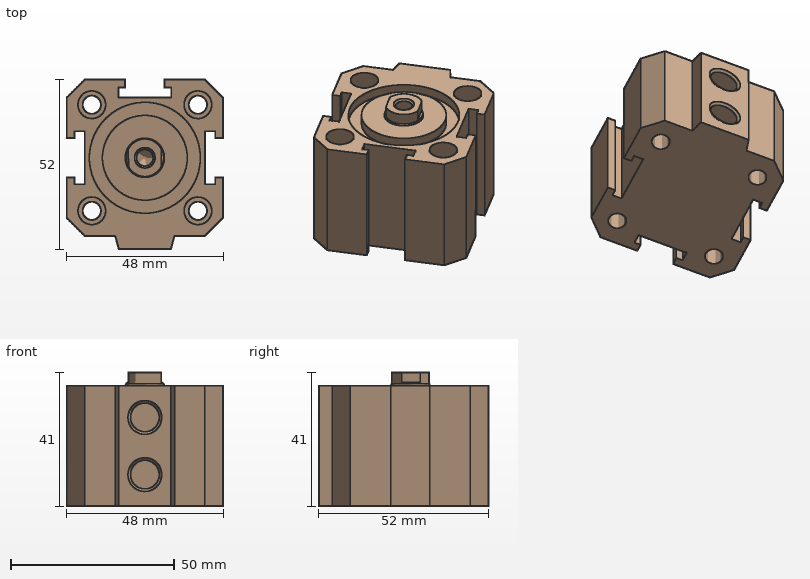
import cadquery as cq
import math

BLOCK_WIDTH = 48.0
BLOCK_HEIGHT = 36.95
CORNER_CHAMFER = 5.6

OVERALL_DEPTH = 52.0
BOSS_HEIGHT = OVERALL_DEPTH - BLOCK_WIDTH
BOSS_BASE_WIDTH = 18.2
BOSS_FACE_WIDTH = 16.0

SLOT_OPENING = 12.0
SLOT_INNER_WIDTH = 16.1
SLOT_DEPTH = 5.5
SLOT_LIP = 2.5

PORT_DIAMETER = 8.8
PORT_CHAMFER = 0.8
PORT_DEPTH = 8.0
PORT_HEIGHTS = (9.65, 27.2)

MOUNT_SPACING = 32.5
MOUNT_HOLE_DIAMETER = 5.5
COUNTERBORE_DIAMETER = 8.5
COUNTERBORE_DEPTH = 5.6

RECESS_DIAMETER = 34.0
COLLAR_DIAMETER = 26.0
RECESS_DEPTH = 3.0

ROD_DIAMETER = 12.0
ROD_TIP_DIAMETER = 11.55
ROD_PROJECTION = 4.0
ROD_SEAT_DEPTH = 20.0
SHOULDER_HEIGHT = 0.5
FLAT_START = 1.0
ACROSS_FLATS = 10.05
LEDGE_ANGLE = 30.0
FLAT_ROTATION = 1.5

SOCKET_DIAMETER = 5.1
SOCKET_MOUTH_DIAMETER = 6.3
SOCKET_DEPTH = 12.0
DRILL_POINT_ANGLE = 118.0


def make_t_slot(angle):
    """T-slot cutter for the +Y side, turned about the Z axis by the angle in degrees."""
    outer_y = BLOCK_WIDTH / 2
    opening = cq.Workplane("XY").rect(SLOT_OPENING, 2 * SLOT_DEPTH).extrude(BLOCK_HEIGHT)
    inner_depth = SLOT_DEPTH - SLOT_LIP
    inner = (
        cq.Workplane("XY")
        .center(0, -SLOT_LIP - inner_depth / 2)
        .rect(SLOT_INNER_WIDTH, inner_depth)
        .extrude(BLOCK_HEIGHT)
    )
    return opening.union(inner).translate((0, outer_y, 0)).rotate((0, 0, 0), (0, 0, 1), angle)


def make_port(height):
    """Flat-bottomed port cutter with a chamfered mouth, running inwards from the boss face."""
    radius = PORT_DIAMETER / 2
    mouth_radius = radius + PORT_CHAMFER
    face_y = -BLOCK_WIDTH / 2 - BOSS_HEIGHT
    return (
        cq.Workplane("XY")
        .moveTo(0, face_y)
        .lineTo(mouth_radius, face_y)
        .lineTo(radius, face_y + PORT_CHAMFER)
        .lineTo(radius, face_y + PORT_DEPTH)
        .lineTo(0, face_y + PORT_DEPTH)
        .close()
        .revolve(360, (0, 0, 0), (0, 1, 0))
        .translate((0, 0, height))
    )


def make_boss():
    """Tapered boss on the -Y side, full height of the block."""
    base_y = -BLOCK_WIDTH / 2
    face_y = base_y - BOSS_HEIGHT
    return (
        cq.Workplane("XY")
        .polyline([
            (-BOSS_BASE_WIDTH / 2, base_y),
            (-BOSS_FACE_WIDTH / 2, face_y),
            (BOSS_FACE_WIDTH / 2, face_y),
            (BOSS_BASE_WIDTH / 2, base_y),
        ])
        .close()
        .extrude(BLOCK_HEIGHT)
    )


def make_housing():
    block = (
        cq.Workplane("XY")
        .rect(BLOCK_WIDTH, BLOCK_WIDTH)
        .extrude(BLOCK_HEIGHT)
        .edges("|Z")
        .chamfer(CORNER_CHAMFER)
        .union(make_boss())
    )
    for angle in (0, 90, -90):
        block = block.cut(make_t_slot(angle))
    for height in PORT_HEIGHTS:
        block = block.cut(make_port(height))

    top = cq.Workplane("XY", origin=(0, 0, BLOCK_HEIGHT))
    recess = top.circle(RECESS_DIAMETER / 2).circle(COLLAR_DIAMETER / 2).extrude(-RECESS_DEPTH)
    rod_bore = top.circle(ROD_DIAMETER / 2).extrude(-ROD_SEAT_DEPTH)
    mount_holes = (
        top.rect(MOUNT_SPACING, MOUNT_SPACING, forConstruction=True)
        .vertices()
        .circle(MOUNT_HOLE_DIAMETER / 2)
        .extrude(-BLOCK_HEIGHT)
    )
    counterbores = (
        top.rect(MOUNT_SPACING, MOUNT_SPACING, forConstruction=True)
        .vertices()
        .circle(COUNTERBORE_DIAMETER / 2)
        .extrude(-COUNTERBORE_DEPTH)
    )
    return block.cut(recess).cut(rod_bore).cut(mount_holes).cut(counterbores)


def make_rod_socket(tip_z):
    """Cutter for the socket in the rod tip, with a 45 degree countersink and a drill point."""
    radius = SOCKET_DIAMETER / 2
    mouth_radius = SOCKET_MOUTH_DIAMETER / 2
    floor_z = tip_z - SOCKET_DEPTH
    point_length = radius / math.tan(math.radians(DRILL_POINT_ANGLE / 2))
    return (
        cq.Workplane("XZ")
        .moveTo(0, tip_z)
        .lineTo(mouth_radius, tip_z)
        .lineTo(radius, tip_z - (mouth_radius - radius))
        .lineTo(radius, floor_z)
        .lineTo(0, floor_z - point_length)
        .close()
        .revolve(360, (0, 0, 0), (0, 1, 0))
    )


def make_flat(side):
    """Cutter for the wrench flat on the -X (side -1) or +X (side 1) flank, with its sloping ledge.

    The flats are turned slightly about the rod axis.
    """
    flat_x = side * ACROSS_FLATS / 2
    outer_x = side * ROD_DIAMETER
    flat_z = BLOCK_HEIGHT + FLAT_START
    tip_z = BLOCK_HEIGHT + ROD_PROJECTION
    ledge_drop = abs(outer_x - flat_x) * math.tan(math.radians(LEDGE_ANGLE))
    return (
        cq.Workplane("XZ")
        .polyline([
            (flat_x, tip_z),
            (flat_x, flat_z),
            (outer_x, flat_z - ledge_drop),
            (outer_x, tip_z),
        ])
        .close()
        .extrude(ROD_DIAMETER / 2, both=True)
        .rotate((0, 0, 0), (0, 0, 1), FLAT_ROTATION)
    )


def make_rod():
    bottom_z = BLOCK_HEIGHT - ROD_SEAT_DEPTH
    tip_z = BLOCK_HEIGHT + ROD_PROJECTION
    rod = (
        cq.Workplane("XZ")
        .moveTo(0, bottom_z)
        .lineTo(ROD_DIAMETER / 2, bottom_z)
        .lineTo(ROD_DIAMETER / 2, BLOCK_HEIGHT)
        .lineTo(ROD_TIP_DIAMETER / 2, BLOCK_HEIGHT + SHOULDER_HEIGHT)
        .lineTo(ROD_TIP_DIAMETER / 2, tip_z)
        .lineTo(0, tip_z)
        .close()
        .revolve(360, (0, 0, 0), (0, 1, 0))
    )
    for side in (-1, 1):
        rod = rod.cut(make_flat(side))
    return rod.cut(make_rod_socket(tip_z))


housing = make_housing()
rod = make_rod()

result = cq.Compound.makeCompound([housing.val(), rod.val()])